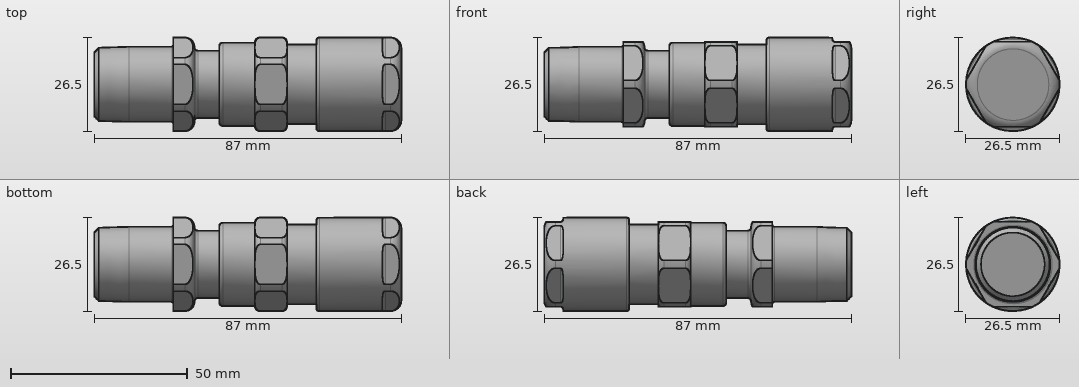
import cadquery as cq
import math


TOTAL_LENGTH = 87.0
MAX_RADIUS = 26.5 / 2
ACROSS_FLATS = 24.0
FLAT_COUNT = 6

ENTRY_TIP_RADIUS = 18.0 / 2
TIP_CHAMFER = 1.4
TAPER_START_RADIUS = ENTRY_TIP_RADIUS + TIP_CHAMFER
THREAD_RADIUS = 21.3 / 2
NECK_RADIUS = 19.1 / 2
TAPER_END_X = 9.8
THREAD_FILLET = 0.4
FLANGE_START_X = 22.35
FLANGE_END_X = 28.45
FLANGE_ROUND = 2.8
NECK_FILLET = MAX_RADIUS - FLANGE_ROUND - NECK_RADIUS

MIDDLE_START_X = 35.4
MIDDLE_HEX_START_X = 45.5
MIDDLE_HEX_END_X = 54.6
MIDDLE_RADIUS = 23.7 / 2
MIDDLE_EDGE_ROUND = 1.05
MIDDLE_HEX_ROUND = 1.5
SPIGOT_RADIUS = 22.6 / 2

REAR_START_X = 62.9
REAR_EDGE_ROUND = 0.8
REAR_NOSE_ROUND = 3.1
FLATS_START_X = 81.6
FLATS_FILLET = 0.8


def cylinder(start_x, end_x, radius):
    """Solid cylinder on the X axis."""
    return cq.Workplane("YZ", origin=(start_x, 0, 0)).circle(radius).extrude(end_x - start_x)


def hex_prism(start_x, end_x):
    """Hexagonal prism on the X axis, with corners at +Y and -Y."""
    corner_diameter = ACROSS_FLATS / math.cos(math.pi / FLAT_COUNT)
    return (
        cq.Workplane("YZ", origin=(start_x, 0, 0))
        .polygon(FLAT_COUNT, corner_diameter)
        .extrude(end_x - start_x)
    )


def make_threaded_entry():
    """Tapered thread, hexagonal flange and neck."""
    shank = (
        cq.Workplane("XY")
        .moveTo(0, 0)
        .lineTo(0, ENTRY_TIP_RADIUS)
        .lineTo(TIP_CHAMFER, TAPER_START_RADIUS)
        .lineTo(TAPER_END_X, THREAD_RADIUS)
        .lineTo(FLANGE_START_X - THREAD_FILLET, THREAD_RADIUS)
        .radiusArc((FLANGE_START_X, THREAD_RADIUS + THREAD_FILLET), -THREAD_FILLET)
        .lineTo(FLANGE_START_X, 0)
        .close()
        .revolve(360, (0, 0), (1, 0))
    )
    neck = (
        cq.Workplane("XY")
        .moveTo(FLANGE_END_X, 0)
        .lineTo(FLANGE_END_X, NECK_RADIUS + NECK_FILLET)
        .radiusArc((FLANGE_END_X + NECK_FILLET, NECK_RADIUS), -NECK_FILLET)
        .lineTo(MIDDLE_START_X, NECK_RADIUS)
        .lineTo(MIDDLE_START_X, 0)
        .close()
        .revolve(360, (0, 0), (1, 0))
    )
    flange = (
        cylinder(FLANGE_START_X, FLANGE_END_X, MAX_RADIUS)
        .faces(">X").edges().fillet(FLANGE_ROUND)
        .intersect(hex_prism(FLANGE_START_X, FLANGE_END_X))
    )
    return flange.union(shank).union(neck)


def make_middle_nut():
    """Round collar, hexagon with rounded corners, and a spigot towards the rear nut."""
    collar = (
        cylinder(MIDDLE_START_X, MIDDLE_HEX_START_X, MIDDLE_RADIUS)
        .faces("<X").edges().fillet(MIDDLE_EDGE_ROUND)
    )
    hexagon = (
        cylinder(MIDDLE_HEX_START_X, MIDDLE_HEX_END_X, MAX_RADIUS)
        .edges().fillet(MIDDLE_HEX_ROUND)
        .intersect(hex_prism(MIDDLE_HEX_START_X, MIDDLE_HEX_END_X))
    )
    spigot = cylinder(MIDDLE_HEX_END_X, REAR_START_X, SPIGOT_RADIUS)
    return hexagon.union(collar).union(spigot)


def make_flat_cutter():
    """Block that cuts the upper flat, its lower edge rounded at the shoulder."""
    return (
        cq.Workplane("XY", origin=(0, 0, ACROSS_FLATS / 2))
        .rect(2 * (TOTAL_LENGTH - FLATS_START_X), 2 * MAX_RADIUS)
        .extrude(MAX_RADIUS)
        .edges("<X and <Z").fillet(FLATS_FILLET)
        .translate((TOTAL_LENGTH, 0, 0))
    )


def make_rear_nut():
    """Round nut with a rounded nose and spanner flats at its rear end."""
    nut = (
        cylinder(REAR_START_X, TOTAL_LENGTH, MAX_RADIUS)
        .faces("<X").edges().fillet(REAR_EDGE_ROUND)
        .faces(">X").edges().fillet(REAR_NOSE_ROUND)
    )
    flat_cutter = make_flat_cutter()
    for index in range(FLAT_COUNT):
        angle = index * 360 / FLAT_COUNT
        nut = nut.cut(flat_cutter.rotate((0, 0, 0), (1, 0, 0), angle))
    return nut


threaded_entry = make_threaded_entry()
middle_nut = make_middle_nut()
rear_nut = make_rear_nut()

bodies = [threaded_entry, middle_nut, rear_nut]
result = cq.Compound.makeCompound([body.solids().val() for body in bodies])